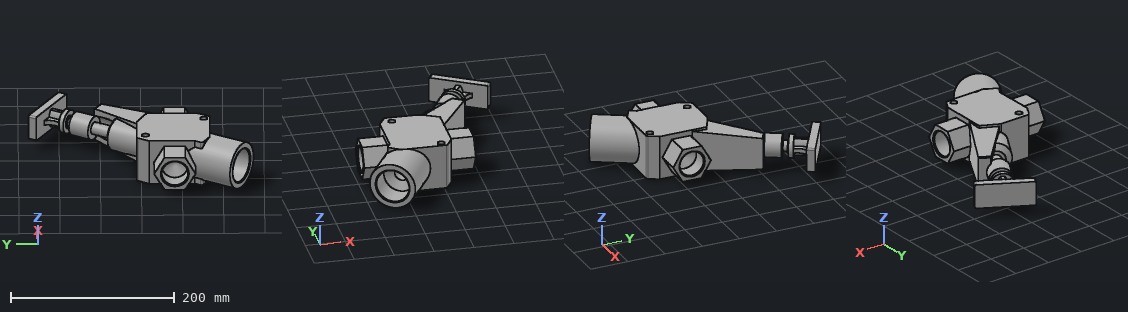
import cadquery as cq
import math

VALVE_SWING = -30.0

height = 58.5
half_height = height / 2
block_half_width = 38.0
block_back = 46.4
block_front = -43.0
left_side_top = 31.3
left_side_bottom = -24.7
right_side_top = 34.3
right_side_bottom = -28.8
back_left_x = -29.4
back_right_x = 13.5
front_left_x = -27.0
front_right_x = 30.0
lug_corner = (-43.3, -33.5)
block_corner_radius = 2.5
bolt_positions = [(-22.0, 35.7), (24.0, -35.7)]
bolt_diameter = 8.8

port_half_length = 69.7
hex_across_flats = 44.0
port_bore_radius = 16.0
port_bore_depth = 22.0
port_chamfer = 1.5

barrel_radius = half_height
barrel_end = -94.5
barrel_bore_radius = 20.8
barrel_bore_depth = 30.7
barrel_chamfer = 1.0
seat_bore_radius = 9.3
seat_bore_end = -27.5
drill_half_angle = math.radians(118 / 2)

bonnet_radius = 20.8
bonnet_shoulder = 82.3
bonnet_end = 87.2
bonnet_end_radius = 12.5

arm_end = 119.0
arm_outer_x = 25.5
arm_tip_inner_x = 10.0
arm_end_half_height = 21.0
arm_end_chamfer = 1.5
arm_inner_slope = math.tan(math.radians(15))

stem_radius = 7.7
gland_radius = 15.0
gland_start = 113.3
gland_end = 140.0
neck_radius = 7.0
neck_cone = 1.5
flange_start = 148.0
flange_end = 154.5
flange_diameter = 30.0
flange_radius = flange_diameter / 2

bar_start = 172.8
bar_end = 183.8
bar_length = 75.7
bar_width = 32.5
bar_corner_radius = 2.0
web_thickness = 6.0
web_flange_half = 13.7
web_waist_half = 12.3
web_waist_y = 161.8
web_bar_half = 17.8
rib_half_height = 11.2
rib_tip_half = 2.5
rib_middle_width = 13.0
rib_middle_half = rib_middle_width / 2


def swing(body):
    """Turn a shape modelled along +Y onto the valve axis."""
    return body.rotate((0, 0, 0), (0, 0, 1), VALVE_SWING)


def revolve_on_y(points):
    """Solid of revolution about Y from (radius, y) points."""
    return cq.Workplane("XY").polyline(points).close().revolve(360, (0, 0, 0), (0, 1, 0))


def drilled_bore(radius, depth, chamfer, tip_radius=0.0):
    """Tool for a chamfered bore entering at y = 0 and ending in a drill cone."""
    tip_y = depth + (radius - tip_radius) / math.tan(drill_half_angle)
    points = [(0, 0), (radius + chamfer, 0), (radius, chamfer), (radius, depth)]
    if tip_radius > 0:
        points.append((tip_radius, tip_y))
    points.append((0, tip_y))
    return revolve_on_y(points)


def make_block():
    back_left = (back_left_x, block_back)
    front_right = (front_right_x, block_front)
    outline = [
        (-block_half_width, left_side_top),
        back_left,
        (back_right_x, block_back),
        (block_half_width, right_side_top),
        (block_half_width, right_side_bottom),
        front_right,
        (front_left_x, block_front),
        lug_corner,
        (-block_half_width, left_side_bottom),
    ]
    rounded_corners = [back_left, front_right, lug_corner]
    block = cq.Workplane("XY").polyline(outline).close().extrude(half_height, both=True)
    for x, y in rounded_corners:
        corner = cq.selectors.NearestToPointSelector((x, y, 0))
        block = block.edges("|Z").edges(corner).fillet(block_corner_radius)
    return block


def make_ports():
    return (
        cq.Workplane("YZ")
        .polygon(6, hex_across_flats / math.cos(math.pi / 6))
        .extrude(port_half_length, both=True)
    )


def make_yoke_arm():
    root_inner_x = arm_tip_inner_x - arm_end * arm_inner_slope
    plan = (
        cq.Workplane("XY")
        .polyline([
            (arm_outer_x, 0),
            (arm_outer_x, arm_end),
            (arm_tip_inner_x, arm_end),
            (root_inner_x, 0),
        ])
        .close()
        .extrude(half_height, both=True)
    )
    side = (
        cq.Workplane("YZ")
        .polyline([
            (0, -half_height),
            (arm_end - arm_end_chamfer, -arm_end_half_height),
            (arm_end, -arm_end_half_height + arm_end_chamfer),
            (arm_end, arm_end_half_height - arm_end_chamfer),
            (arm_end - arm_end_chamfer, arm_end_half_height),
            (0, half_height),
        ])
        .close()
        .extrude(2 * arm_outer_x, both=True)
    )
    channel = revolve_on_y([
        (0, bonnet_end),
        (gland_radius, bonnet_end),
        (gland_radius, arm_end),
        (0, arm_end),
    ])
    return plan.intersect(side).cut(channel)


def make_housing():
    barrel = revolve_on_y([(0, barrel_end), (barrel_radius, barrel_end), (barrel_radius, 0), (0, 0)])
    bonnet = revolve_on_y([
        (0, 0),
        (bonnet_radius, 0),
        (bonnet_radius, bonnet_shoulder),
        (bonnet_end_radius, bonnet_end),
        (0, bonnet_end),
    ])
    housing = make_block().union(make_ports())
    for feature in (barrel, bonnet, make_yoke_arm()):
        housing = housing.union(swing(feature))

    port_bore = drilled_bore(port_bore_radius, port_bore_depth, port_chamfer)
    port_bore = port_bore.translate((0, -port_half_length, 0))
    for turn in (-90, 90):
        housing = housing.cut(port_bore.rotate((0, 0, 0), (0, 0, 1), turn))

    barrel_bore = drilled_bore(barrel_bore_radius, barrel_bore_depth, barrel_chamfer, seat_bore_radius)
    seat_bore = revolve_on_y([
        (0, barrel_end),
        (seat_bore_radius, barrel_end),
        (seat_bore_radius, seat_bore_end),
        (0, seat_bore_end),
    ])
    housing = housing.cut(swing(barrel_bore.translate((0, barrel_end, 0)).union(seat_bore)))

    bolt_holes = (
        cq.Workplane("XY")
        .pushPoints(bolt_positions)
        .circle(bolt_diameter / 2)
        .extrude(half_height, both=True)
    )
    return housing.cut(bolt_holes)


def make_spindle():
    turned = revolve_on_y([
        (0, bonnet_end),
        (stem_radius, bonnet_end),
        (stem_radius, gland_start),
        (gland_radius, gland_start),
        (gland_radius, gland_end),
        (neck_radius + neck_cone, gland_end),
        (neck_radius, gland_end + neck_cone),
        (neck_radius, flange_start - neck_cone),
        (neck_radius + neck_cone, flange_start),
        (flange_radius, flange_start),
        (flange_radius, flange_end),
        (0, flange_end),
    ])
    web = (
        cq.Workplane("XY")
        .moveTo(-web_flange_half, flange_end)
        .lineTo(web_flange_half, flange_end)
        .threePointArc((web_waist_half, web_waist_y), (web_bar_half, bar_start))
        .lineTo(-web_bar_half, bar_start)
        .threePointArc((-web_waist_half, web_waist_y), (-web_flange_half, flange_end))
        .close()
        .extrude(web_thickness / 2, both=True)
    )
    rib = (
        cq.Workplane("XZ", origin=(0, bar_start, 0))
        .moveTo(-rib_tip_half, -rib_half_height)
        .lineTo(rib_tip_half, -rib_half_height)
        .threePointArc((rib_middle_half, 0), (rib_tip_half, rib_half_height))
        .lineTo(-rib_tip_half, rib_half_height)
        .threePointArc((-rib_middle_half, 0), (-rib_tip_half, -rib_half_height))
        .close()
        .extrude(bar_start - flange_end)
    )
    bar = (
        cq.Workplane("XZ", origin=(0, bar_end, 0))
        .rect(bar_length, bar_width)
        .extrude(bar_end - bar_start)
        .edges("|Y")
        .fillet(bar_corner_radius)
    )
    return swing(turned.union(web).union(rib).union(bar))


housing = make_housing()
spindle = make_spindle()
result = cq.Compound.makeCompound([housing.solids().val(), spindle.solids().val()])